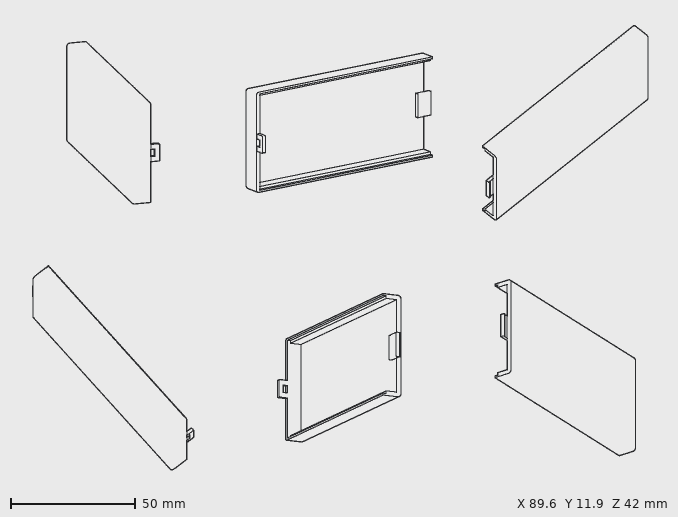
import cadquery as cq

LENGTH = 87.1
DEPTH = 8.1
HEIGHT = 42.0
PLATE = 2.0
SIDE_WALL = 1.9
END_WALL = 1.6
SIDE_ROUND = 1.5
END_ROUND = 1.0

RIM_THICKNESS = 0.8
RIM_DEPTH = 1.4

TONGUE_WIDTH = 10.0
TONGUE_REACH = 2.5
TONGUE_ROOT = 4.0
TONGUE_THICKNESS = 1.5
TONGUE_ROUND = 0.2
NIB_LENGTH = 0.6
NIB_HEIGHT = 0.3
NIB_ROUND = NIB_HEIGHT

LUG_RISE = 3.8
LUG_WIDTH = 7.3
LUG_THICKNESS = 1.4
LUG_ROUND = 0.5
HOLE_WIDTH = 3.0
HOLE_DEPTH = 1.8


def block(x_start, x_end, y_start, y_end, height):
    """Box between the given X and Y limits, centred on Z = 0."""
    return (
        cq.Workplane("XY")
        .box(x_end - x_start, y_end - y_start, height, centered=(False, False, True))
        .translate((x_start, y_start, 0))
    )


def tray():
    """Hollow body with rounded front and end edges and a stepped rim."""
    inner_end = LENGTH - END_WALL
    body = block(0, LENGTH, 0, DEPTH, HEIGHT)
    body = body.edges("|X and <Y").fillet(SIDE_ROUND)
    body = body.faces(">X").edges().edges("not(>Y)").fillet(END_ROUND)
    cavity = block(0, inner_end, PLATE, DEPTH, HEIGHT - 2 * SIDE_WALL)
    rim_step = block(0, inner_end, DEPTH - RIM_DEPTH, DEPTH, HEIGHT - 2 * RIM_THICKNESS)
    return body.cut(cavity).cut(rim_step)


def tongue():
    """Latch tongue on the plate's inner face, with a nib rounded at its tip."""
    tip = -TONGUE_REACH
    strip = block(tip, TONGUE_ROOT, PLATE, PLATE + TONGUE_THICKNESS, TONGUE_WIDTH)
    strip = strip.edges(">Y and |X").fillet(TONGUE_ROUND)
    nib = block(tip, tip + NIB_LENGTH, PLATE - NIB_HEIGHT, PLATE + NIB_HEIGHT, TONGUE_WIDTH)
    nib = nib.edges("<X and <Y").fillet(NIB_ROUND)
    return strip.union(nib)


def lug():
    """Lug standing on the end wall's rim, pierced along X."""
    inner_end = LENGTH - END_WALL
    outer_end = inner_end + LUG_THICKNESS
    plate = block(inner_end, outer_end, DEPTH, DEPTH + LUG_RISE, LUG_WIDTH)
    plate = plate.edges(">Y and |X").fillet(LUG_ROUND)
    hole = block(inner_end, outer_end, DEPTH, DEPTH + HOLE_DEPTH, HOLE_WIDTH)
    return plate.cut(hole)


result = tray().union(tongue()).union(lug())